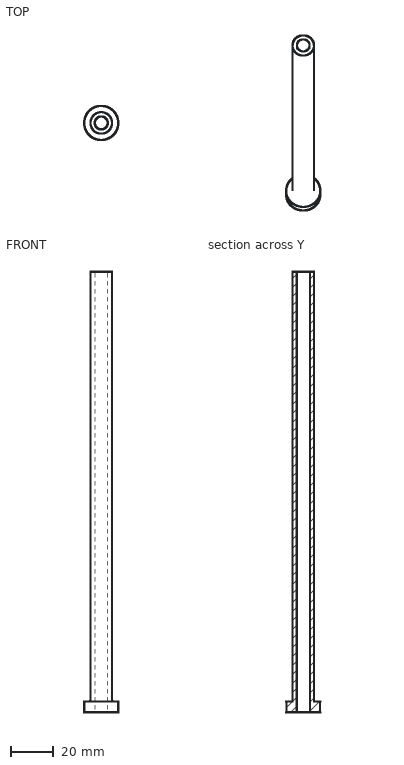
import cadquery as cq

total_length = 205.0
head_diameter = 16.0
head_height = 5.1
shank_diameter = 10.0
bore_diameter = 6.0
root_fillet_radius = 0.5

head = cq.Workplane("XY").circle(head_diameter / 2).extrude(head_height)

shank = cq.Workplane("XY").circle(shank_diameter / 2).extrude(total_length)

body = head.union(shank)
root_edge = body.faces(">Z[-2]").edges(cq.selectors.RadiusNthSelector(0))
body = root_edge.fillet(root_fillet_radius)

bore = cq.Workplane("XY").circle(bore_diameter / 2).extrude(total_length)

result = body.cut(bore)